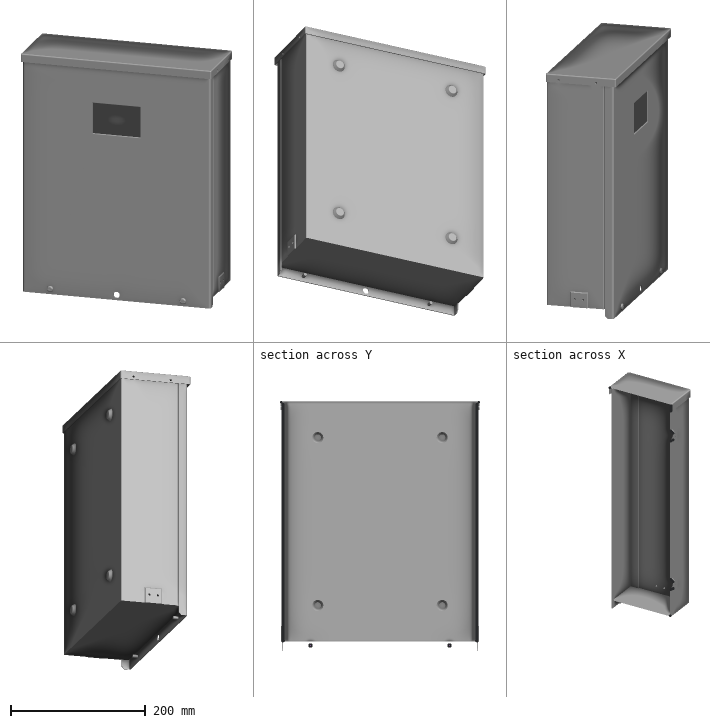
import cadquery as cq
import math

total_width = 296.0
total_depth = 112.0
total_height = 370.7
sheet = 1.5
rivet_hole_diameter = 3.3

cap_depth = 108.5
cap_skirt = 12.5
cap_corner_round = 2.0
cap_top_round = 1.65
cap_hole_ys = (30.8, 88.2)
cap_hole_z = total_height - 8.5

cover_width = 291.5
cover_front = 4.0
cover_back = 17.5
cover_bend = 3.0
cover_corner = 3.7
cover_top = total_height - 2 * sheet
window_width = 74.0
window_height = 49.3
window_round = 1.0
window_z = 279.5
fastener_z = 8.0
seal_hole_diameter = 9.5

box_width = cover_width
box_back = cap_depth - sheet
box_bottom = 14.0
box_bend = 1.5
box_top = cover_top
cover_clearance = 0.5
neck_width = cover_width - 2 * (sheet + cover_clearance)
neck_front = 7.5
neck_back = 19.0

pad_width = 27.0
pad_height = 23.7
pad_y = 57.0
pad_rise = 1.5
pad_bevel = 1.3
pad_hole_pitch = 13.0
pad_hole_z = 26.7

boss_base_diameter = 19.3
boss_tip_diameter = 12.5
boss_x = 92.3
boss_zs = (68.0, 317.0)
boss_height = total_depth - box_back
boss_round = 1.0

screw_x = 103.0
head_diameter = 9.5
head_height = 2.5
head_round = 2.2
shank_diameter = 5.0
shank_length = 9.3
slot_width = 2.0
slot_depth = 1.0


def block(width, y0, y1, z0, z1):
    """Box centred on X = 0 between two Y and two Z values."""
    return cq.Workplane("XY").box(width, y1 - y0, z1 - z0, centered=(True, False, False)).translate((0, y0, z0))


def side_holes(y_values, z):
    """Rivet holes that run along X through both side walls."""
    return (
        cq.Workplane("YZ")
        .pushPoints([(y, z) for y in y_values])
        .circle(rivet_hole_diameter / 2)
        .extrude(total_width, both=True)
    )


def rod_along_y(diameter, length, x, y, z):
    """Cylinder that starts at y and runs toward +Y."""
    return cq.Workplane("XZ", origin=(x, y, z)).circle(diameter / 2).extrude(-length)


def make_cap():
    """Shallow lid, open below, whose skirt wraps round the top of the box and the cover."""
    skirt_bottom = total_height - cap_skirt
    shell = block(total_width, 0, cap_depth, skirt_bottom, total_height)
    shell = shell.edges("|Z").fillet(cap_corner_round)
    shell = shell.faces(">Z").edges().fillet(cap_top_round)
    inside = block(total_width - 2 * sheet, sheet, cap_depth - sheet, skirt_bottom, total_height - sheet)
    return shell.cut(inside).cut(side_holes(cap_hole_ys, cap_hole_z))


def make_window():
    """Cutter for the window, flared at the top and bottom by the rounded sheet edges."""
    half = window_height / 2
    throat = half - window_round
    back = cover_front + sheet
    round_end = cover_front + window_round
    corner = window_round * (1 - math.sqrt(0.5))
    return (
        cq.Workplane("YZ", origin=(-window_width / 2, 0, window_z))
        .moveTo(cover_front, -half)
        .threePointArc((cover_front + corner, -throat - corner), (round_end, -throat))
        .lineTo(back, -throat)
        .lineTo(back, throat)
        .lineTo(round_end, throat)
        .threePointArc((cover_front + corner, throat + corner), (cover_front, half))
        .close()
        .extrude(window_width)
    )


def make_cover():
    """Front panel with two side flanges, a window, a seal hole and two screw holes."""
    cover = block(cover_width, cover_front, cover_back, 0, cover_top)
    cover = cover.edges("|Z and <Y").fillet(cover_bend)
    inside = block(cover_width - 2 * sheet, cover_front + sheet, cover_back, 0, cover_top)
    inside = inside.edges("|Z and <Y").fillet(cover_bend - sheet)
    cover = cover.edges("|X and >Y and <Z").chamfer(cover_corner).cut(inside)
    cover = cover.cut(make_window())
    cover = cover.cut(rod_along_y(seal_hole_diameter, cover_back, 0, 0, fastener_z))
    for x in (-screw_x, screw_x):
        cover = cover.cut(rod_along_y(shank_diameter, cover_back, x, 0, fastener_z))
    return cover


def frustum(base_diameter, tip_diameter, height, x, y, z):
    """Cone stretch that narrows toward +Y."""
    return (
        cq.Workplane("XZ", origin=(x, y, z))
        .circle(base_diameter / 2)
        .workplane(offset=-height)
        .circle(tip_diameter / 2)
        .loft()
    )


def make_box():
    """Tray open at the front and top, stepped in at the front to go inside the cover."""
    body = block(box_width, neck_back, box_back, box_bottom, box_top)
    body = body.edges("|Z").fillet(box_bend)
    body = body.union(block(neck_width, neck_front, neck_back, box_bottom, box_top))

    pad_front = pad_y - pad_width / 2
    pads = block(box_width + 2 * pad_rise, pad_front, pad_front + pad_width, box_bottom, box_bottom + pad_height)
    pads = pads.faces("<X or >X").edges("|Z or >Z").chamfer(pad_bevel)
    body = body.union(pads)

    floor_top = box_bottom + sheet
    body = body.cut(block(box_width - 2 * sheet, neck_back + sheet, box_back - sheet, floor_top, box_top))
    body = body.cut(block(neck_width - 2 * sheet, neck_front, neck_back + sheet, floor_top, box_top))

    pad_hole_ys = (pad_y - pad_hole_pitch / 2, pad_y + pad_hole_pitch / 2)
    body = body.cut(side_holes(cap_hole_ys, cap_hole_z)).cut(side_holes(pad_hole_ys, pad_hole_z))

    hollow_base = boss_base_diameter - 2 * sheet
    hollow_tip = boss_tip_diameter - 2 * sheet
    for x in (-boss_x, boss_x):
        for z in boss_zs:
            boss = frustum(boss_base_diameter, boss_tip_diameter, boss_height, x, box_back, z)
            body = body.union(boss.faces(">Y").edges().fillet(boss_round))
            body = body.cut(frustum(hollow_base, hollow_tip, boss_height, x, box_back - sheet, z))
    return body


def make_screw(x):
    """Round-headed slotted screw through the foot of the cover."""
    head_front = cover_front - head_height
    screw = rod_along_y(head_diameter, head_height, x, head_front, fastener_z)
    screw = screw.faces("<Y").edges().fillet(head_round)
    screw = screw.union(rod_along_y(shank_diameter, shank_length, x, cover_front, fastener_z))
    slot = cq.Workplane("XY").box(head_diameter, 2 * slot_depth, slot_width)
    screw = screw.cut(slot.translate((x, head_front, fastener_z)))
    return screw


box = make_box()
cap = make_cap()
cover = make_cover()
screws = [make_screw(x) for x in (-screw_x, screw_x)]

result = cq.Compound.makeCompound([box.val(), cap.val(), cover.val(), *[screw.val() for screw in screws]])